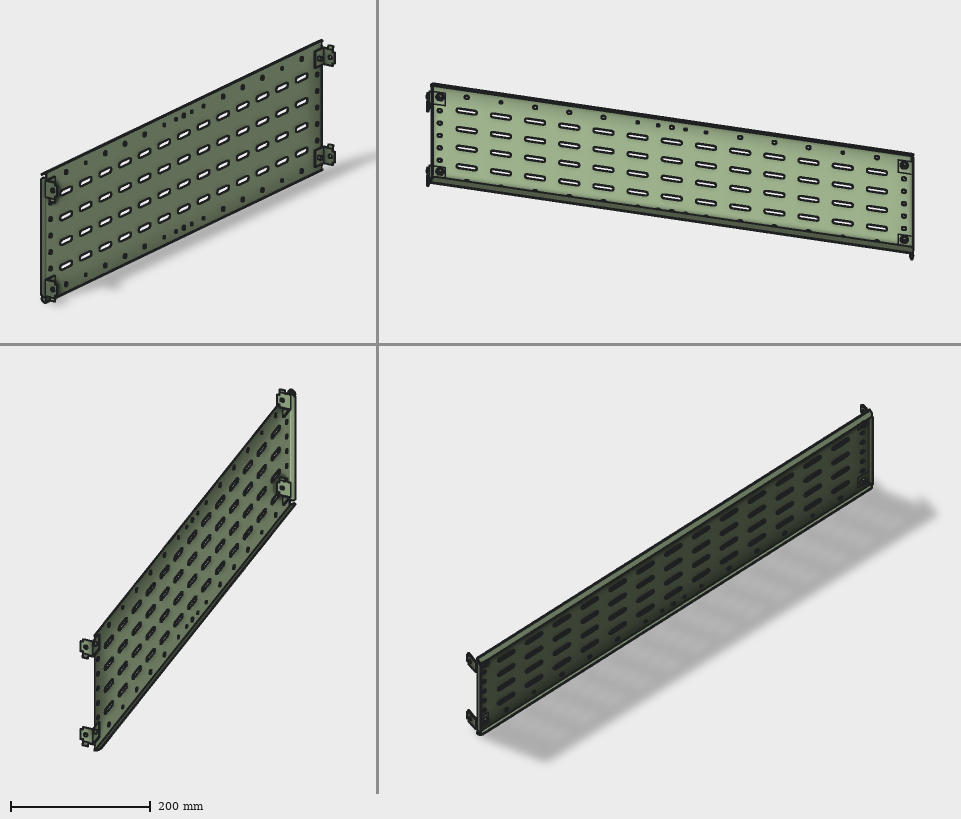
import cadquery as cq
import math

SHEET = 1.5
LIP_BEND_INNER = 0.1
LIP_BEND_OUTER = LIP_BEND_INNER + SHEET
FLANGE_BEND_INNER = 0.5
FLANGE_BEND_OUTER = FLANGE_BEND_INNER + SHEET
WALL_BACK_X = 10.0
PANEL_HALF_Y = 352.4
PANEL_HALF_Z = 98.83
LIP_ANGLE = math.radians(30)
LIP_TIP_X = 0.0
FLANGE_TIP_X = 1.3
FLANGE_HALF_Z = 90.5
CORNER_CUT = 3.2
CUT_MARGIN = 5.0

PITCH_Y = 50.0
SLOT_COLUMNS = 13
SLOT_ROWS = 4
SLOT_PITCH_Z = 37.5
SLOT_LENGTH = 30.0
SLOT_WIDTH = 8.0
LARGE_HOLE_D = 6.5
SMALL_HOLE_D = 4.5
EDGE_ROW_Z = 85.0
LARGE_EDGE_Y = [0, 100, 150, 200, 300]
SMALL_EDGE_Y = [20, 50, 250]
END_COLUMN_Y = 339.5
END_HOLE_Z = [-50, -25, 0, 25, 50]

BOLT_Z = 75.0
BOLT_D = 6.0
BOLT_END_X = 16.5
HEAD_FLATS = 10.0
HEAD_HEIGHT = 4.0
HEX_TURN = 30.0
HEAD_TOP_D = 9.4
HEAD_CHAMFER_ANGLE = math.radians(30)
BOLT_TIP_LENGTH = 0.5

BRACKET_THICKNESS = 2.0
BRACKET_HALF_Z = 12.5
FOOT_INNER_Y = 331.5
PLATE_END_X = 27.0
TONGUE_END_X = 30.52
TONGUE_HALF_Z = 8.25
TAB_START_X = 18.8
TAB_LENGTH = 4.7
TAB_TILT = 18.0
TAB_TIP_Y = 355.75
BRACKET_OUTER_Y = TAB_TIP_Y - TAB_LENGTH * math.sin(math.radians(TAB_TILT))
BRACKET_HOLE_D = 6.0
BRACKET_HOLE_X = 23.0

WALL_FRONT_X = WALL_BACK_X - SHEET


def box(x0, x1, y0, y1, z0, z1):
    return cq.Workplane("XY").box(x1 - x0, y1 - y0, z1 - z0, centered=False).translate((x0, y0, z0))


def mirrored(values):
    return sorted({sign * value for value in values for sign in (-1, 1)})


def lip():
    """Upper lip with its bend, from the wall's bend line to the sloping tip."""
    bend_x = WALL_BACK_X - LIP_BEND_OUTER
    bend_z = PANEL_HALF_Z - LIP_BEND_OUTER
    slope_x, slope_z = -math.cos(LIP_ANGLE), -math.sin(LIP_ANGLE)
    normal_x, normal_z = slope_z, -slope_x

    def bend_point(radius):
        return bend_x + radius * normal_x, bend_z + radius * normal_z

    def bend_middle(radius):
        angle = (math.pi / 2 + LIP_ANGLE) / 2
        return bend_x + radius * math.cos(angle), bend_z + radius * math.sin(angle)

    outer_start = bend_point(LIP_BEND_OUTER)
    inner_start = bend_point(LIP_BEND_INNER)
    length = (outer_start[0] - LIP_TIP_X) / math.cos(LIP_ANGLE)
    outer_tip = (outer_start[0] + length * slope_x, outer_start[1] + length * slope_z)
    inner_tip = (inner_start[0] + length * slope_x, inner_start[1] + length * slope_z)
    body = (
        cq.Workplane("XZ")
        .moveTo(WALL_BACK_X, bend_z)
        .threePointArc(bend_middle(LIP_BEND_OUTER), outer_start)
        .lineTo(*outer_tip)
        .lineTo(*inner_tip)
        .lineTo(*inner_start)
        .threePointArc(bend_middle(LIP_BEND_INNER), (WALL_FRONT_X, bend_z))
        .close()
        .extrude(PANEL_HALF_Y, both=True)
    )
    lip_plane = cq.Plane(
        origin=(outer_tip[0], 0, outer_tip[1]),
        xDir=(0, 1, 0),
        normal=(normal_x, 0, normal_z),
    )
    for side in (-1, 1):
        corner = (
            cq.Workplane(lip_plane)
            .polyline([
                (side * PANEL_HALF_Y, 0),
                (side * (PANEL_HALF_Y - CORNER_CUT), 0),
                (side * PANEL_HALF_Y, -CORNER_CUT),
            ])
            .close()
            .extrude(CUT_MARGIN, both=True)
        )
        body = body.cut(corner)
    return body


def side_flange():
    """Flange along the +Y edge, bent forward from the wall, with its free corners cut."""
    bend_x = WALL_BACK_X - FLANGE_BEND_OUTER
    bend_y = PANEL_HALF_Y - FLANGE_BEND_OUTER
    inner_y = PANEL_HALF_Y - SHEET

    def bend_middle(radius):
        offset = radius * math.sqrt(0.5)
        return bend_x + offset, bend_y + offset

    body = (
        cq.Workplane("XY")
        .moveTo(WALL_BACK_X, bend_y)
        .threePointArc(bend_middle(FLANGE_BEND_OUTER), (bend_x, PANEL_HALF_Y))
        .lineTo(FLANGE_TIP_X, PANEL_HALF_Y)
        .lineTo(FLANGE_TIP_X, inner_y)
        .lineTo(bend_x, inner_y)
        .threePointArc(bend_middle(FLANGE_BEND_INNER), (WALL_FRONT_X, bend_y))
        .close()
        .extrude(FLANGE_HALF_Z, both=True)
    )
    return body.edges("<X and |Y").chamfer(CORNER_CUT)


def panel_body():
    wall_half_y = PANEL_HALF_Y - FLANGE_BEND_OUTER
    wall_half_z = PANEL_HALF_Z - LIP_BEND_OUTER
    body = box(WALL_FRONT_X, WALL_BACK_X, -wall_half_y, wall_half_y, -wall_half_z, wall_half_z)
    upper_lip = lip()
    flange = side_flange()
    for part in (upper_lip, upper_lip.mirror("XY"), flange, flange.mirror("XZ")):
        body = body.union(part)
    return body


def wall_holes(points, diameter):
    return (
        cq.Workplane("YZ", origin=(WALL_FRONT_X - CUT_MARGIN, 0, 0))
        .pushPoints(points)
        .circle(diameter / 2)
        .extrude(SHEET + 2 * CUT_MARGIN)
    )


def make_panel():
    slots = (
        cq.Workplane("YZ", origin=(WALL_FRONT_X - CUT_MARGIN, 0, 0))
        .rarray(PITCH_Y, SLOT_PITCH_Z, SLOT_COLUMNS, SLOT_ROWS)
        .slot2D(SLOT_LENGTH, SLOT_WIDTH)
        .extrude(SHEET + 2 * CUT_MARGIN)
    )
    edge_z = (-EDGE_ROW_Z, EDGE_ROW_Z)
    end_y = (-END_COLUMN_Y, END_COLUMN_Y)
    large_points = [(y, z) for y in mirrored(LARGE_EDGE_Y) for z in edge_z]
    large_points += [(y, z) for y in end_y for z in END_HOLE_Z]
    small_points = [(y, z) for y in mirrored(SMALL_EDGE_Y) for z in edge_z]
    bolt_points = [(y, z) for y in end_y for z in (-BOLT_Z, BOLT_Z)]
    return (
        panel_body()
        .cut(slots)
        .cut(wall_holes(large_points, LARGE_HOLE_D))
        .cut(wall_holes(small_points, SMALL_HOLE_D))
        .cut(wall_holes(bolt_points, BOLT_D))
    )


def tab():
    """Tab on the upper edge of the plate, leaning outward about the plate's outer edge."""
    inner_y = BRACKET_OUTER_Y - BRACKET_THICKNESS
    root_z = BRACKET_HALF_Z - BRACKET_THICKNESS / 2
    tip_z = BRACKET_HALF_Z + TAB_LENGTH
    return (
        box(TAB_START_X, PLATE_END_X, inner_y, BRACKET_OUTER_Y, root_z, tip_z)
        .rotate((0, BRACKET_OUTER_Y, BRACKET_HALF_Z), (1, BRACKET_OUTER_Y, BRACKET_HALF_Z), -TAB_TILT)
    )


def make_bracket():
    """Bracket of the +Y side, centred on z = 0."""
    inner_y = BRACKET_OUTER_Y - BRACKET_THICKNESS
    foot_back_x = WALL_BACK_X + BRACKET_THICKNESS
    body = box(WALL_BACK_X, foot_back_x, FOOT_INNER_Y, BRACKET_OUTER_Y, -BRACKET_HALF_Z, BRACKET_HALF_Z)
    plate = box(WALL_BACK_X, PLATE_END_X, inner_y, BRACKET_OUTER_Y, -BRACKET_HALF_Z, BRACKET_HALF_Z)
    tongue = box(PLATE_END_X, TONGUE_END_X, inner_y, BRACKET_OUTER_Y, -TONGUE_HALF_Z, TONGUE_HALF_Z)
    for part in (plate, tongue, tab()):
        body = body.union(part)
    plate_hole = (
        cq.Workplane("XZ", origin=(BRACKET_HOLE_X, inner_y - CUT_MARGIN, 0))
        .circle(BRACKET_HOLE_D / 2)
        .extrude(-(BRACKET_THICKNESS + 2 * CUT_MARGIN))
    )
    bolt_hole = (
        cq.Workplane("YZ", origin=(WALL_BACK_X, END_COLUMN_Y, 0))
        .circle(BOLT_D / 2)
        .extrude(BRACKET_THICKNESS)
    )
    return body.cut(plate_hole).cut(bolt_hole)


def make_bolt():
    """Hexagon bolt along X on y = z = 0, its hexagon seated on the wall's front face."""
    head_x = WALL_FRONT_X - HEAD_HEIGHT
    head = (
        cq.Workplane("YZ", origin=(head_x, 0, 0))
        .polygon(6, HEAD_FLATS, circumscribed=True)
        .extrude(HEAD_HEIGHT)
        .rotate((0, 0, 0), (1, 0, 0), HEX_TURN)
    )
    cone_base_radius = HEAD_TOP_D / 2 + HEAD_HEIGHT / math.tan(HEAD_CHAMFER_ANGLE)
    cone = (
        cq.Workplane("XY")
        .moveTo(head_x, 0)
        .lineTo(head_x, HEAD_TOP_D / 2)
        .lineTo(WALL_FRONT_X, cone_base_radius)
        .lineTo(WALL_FRONT_X, 0)
        .close()
        .revolve(360, (0, 0, 0), (1, 0, 0))
    )
    tip_x = head_x - BOLT_TIP_LENGTH
    shank = cq.Workplane("YZ", origin=(tip_x, 0, 0)).circle(BOLT_D / 2).extrude(BOLT_END_X - tip_x)
    return head.intersect(cone).union(shank)


panel = make_panel()

brackets = []
bolts = []
for z in (-BOLT_Z, BOLT_Z):
    for turn in (0, 180):
        brackets.append(make_bracket().rotate((0, 0, 0), (1, 0, 0), turn).translate((0, 0, z)))
    for y in (-END_COLUMN_Y, END_COLUMN_Y):
        bolts.append(make_bolt().translate((0, y, z)))

result = cq.Compound.makeCompound(
    [panel.val(), *[bracket.val() for bracket in brackets], *[bolt.val() for bolt in bolts]]
)